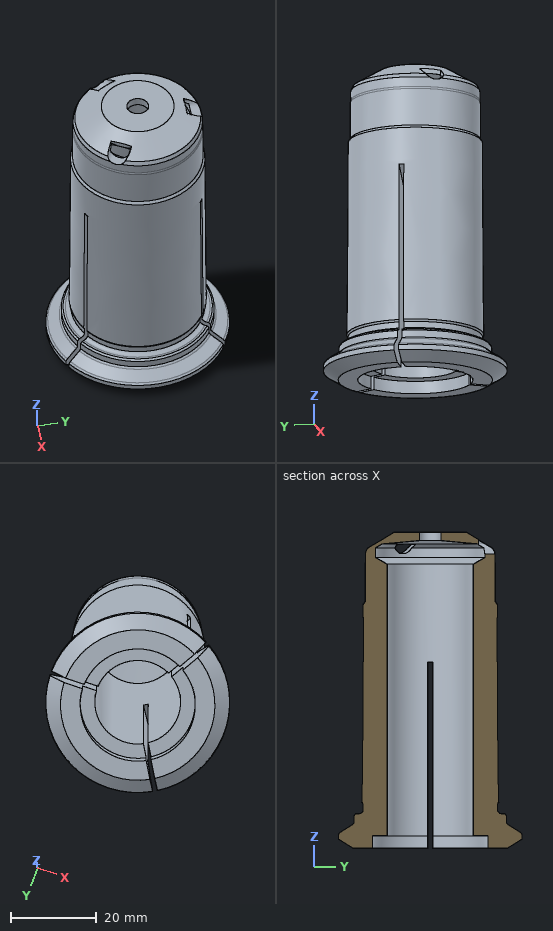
import cadquery as cq
import math

height = 73.9
flange_radius = 21.5
foot_radius = 18.0
hub_radius = 17.9

flange_bottom = 2.15
flange_top = 3.85
flange_edge_break = 0.45
hub_foot = 6.0
hub_foot_fillet = 0.45
hub_top = 8.1
hub_edge_break = 0.45

neck_radius = 15.75
neck_flare_width = 1.2
neck_flare_height = 0.7
neck_flare_middle = 0.35
neck_top = 10.3
sleeve_bottom = 10.8
sleeve_bottom_radius = 16.0
sleeve_top = 57.0
sleeve_top_radius = 15.75

head_radius = 30.5 / 2
head_bottom = 57.65
step_bottom = 66.4
step_top = 66.95
nose_radius = 15.15
nose_top = 69.25
cone_base = 70.2
cone_base_radius = 14.7
face_radius = 8.5

hole_radius = 2.5
bore_radius = 20.0 / 2
chamber_radius = 25.5 / 2
chamber_edge_top = 71.1
chamber_center_top = 71.9
chamber_shoulder = 70.2
chamber_bottom = 68.0
chamber_taper = math.radians(30)
chamber_taper_bottom = chamber_bottom - (chamber_radius - bore_radius) * math.tan(chamber_taper)
mouth_radius = 26.9 / 2
mouth_height = 2.95

repeat_count = 3
slit_width = 1.1
slit_top = 48.2
slit_full_depth_top = 43.45
opening_width = 5.0
opening_inner_radius = 11.3
opening_axis_height = 71.4


def revolve_profile(outline):
    """Turn a closed (radius, height) outline about the Z axis."""
    return outline.close().revolve(360, (0, 0, 0), (0, 1, 0))


def outer_body():
    outline = (
        cq.Workplane("XZ")
        .lineTo(foot_radius, 0)
        .lineTo(flange_radius, flange_bottom)
        .lineTo(flange_radius, flange_top - flange_edge_break)
        .lineTo(flange_radius - flange_edge_break, flange_top)
        .lineTo(hub_radius + hub_foot_fillet, hub_foot - hub_foot_fillet)
        .lineTo(hub_radius, hub_foot)
        .lineTo(hub_radius, hub_top - hub_edge_break)
        .lineTo(hub_radius - hub_edge_break, hub_top)
        .lineTo(neck_radius + neck_flare_width, hub_top)
        .threePointArc(
            (
                neck_radius + neck_flare_middle * neck_flare_width,
                hub_top + neck_flare_middle * neck_flare_height,
            ),
            (neck_radius, hub_top + neck_flare_height),
        )
        .lineTo(neck_radius, neck_top)
        .lineTo(sleeve_bottom_radius, sleeve_bottom)
        .lineTo(sleeve_top_radius, sleeve_top)
        .lineTo(head_radius, head_bottom)
        .lineTo(head_radius, step_bottom)
        .lineTo(nose_radius, step_top)
        .lineTo(nose_radius, nose_top)
        .lineTo(cone_base_radius, cone_base)
        .lineTo(face_radius, height)
        .lineTo(0, height)
    )
    return revolve_profile(outline)


def inner_cavity():
    outline = (
        cq.Workplane("XZ")
        .lineTo(mouth_radius, 0)
        .lineTo(mouth_radius, mouth_height)
        .lineTo(bore_radius, mouth_height)
        .lineTo(bore_radius, chamber_taper_bottom)
        .lineTo(chamber_radius, chamber_bottom)
        .lineTo(chamber_radius, chamber_shoulder)
        .lineTo(opening_inner_radius, chamber_edge_top)
        .lineTo(hole_radius, chamber_center_top)
        .lineTo(hole_radius, height)
        .lineTo(0, height)
    )
    return revolve_profile(outline)


def slit():
    """Radial slit toward -X whose upper end slopes out to the sleeve surface."""
    return (
        cq.Workplane("XZ")
        .polyline([
            (0, 0),
            (-flange_radius, 0),
            (-flange_radius, slit_top),
            (-sleeve_top_radius, slit_top),
            (-bore_radius, slit_full_depth_top),
            (0, slit_full_depth_top),
        ])
        .close()
        .extrude(slit_width / 2, both=True)
    )


def nose_opening():
    """Round-bottomed opening toward +X, open at the top."""
    round_bottom = (
        cq.Workplane("YZ", origin=(opening_inner_radius, 0, opening_axis_height))
        .circle(opening_width / 2)
        .extrude(head_radius)
    )
    open_top = cq.Workplane("XY").box(
        head_radius, opening_width, height - opening_axis_height, centered=(False, True, False)
    ).translate((opening_inner_radius, 0, opening_axis_height))
    return round_bottom.union(open_top)


result = outer_body().cut(inner_cavity())
for index in range(repeat_count):
    turn = index * 360 / repeat_count
    result = result.cut(slit().rotate((0, 0, 0), (0, 0, 1), turn))
    result = result.cut(nose_opening().rotate((0, 0, 0), (0, 0, 1), 90 + turn))